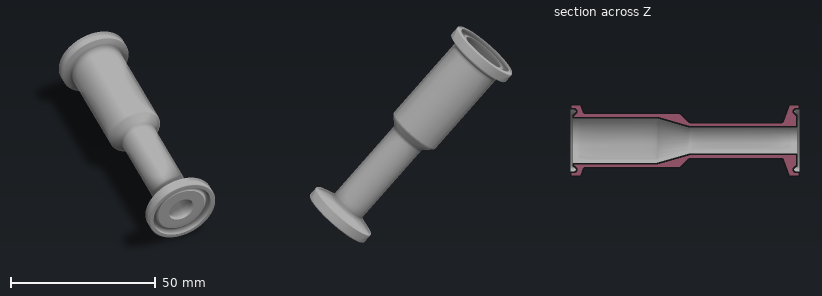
import cadquery as cq
import math

TOTAL_LENGTH = 79.38
FLANGE_RADIUS = 24.99 / 2

LARGE_TUBE_RADIUS = 19.05 / 2
LARGE_BORE_RADIUS = 15.75 / 2
SMALL_TUBE_RADIUS = 12.7 / 2
SMALL_BORE_RADIUS = 9.4 / 2

CONE_START = 38.05
CONE_ANGLE = math.radians(45)
CONE_LENGTH = (LARGE_TUBE_RADIUS - SMALL_TUBE_RADIUS) / math.tan(CONE_ANGLE)
CONE_END = CONE_START + CONE_LENGTH
CONE_BLEND_RADIUS = 1.0
BORE_CONE_ANGLE = math.radians(16)
BORE_CONE_LENGTH = (LARGE_BORE_RADIUS - SMALL_BORE_RADIUS) / math.tan(BORE_CONE_ANGLE)
BORE_CONE_END = CONE_END
BORE_CONE_START = BORE_CONE_END - BORE_CONE_LENGTH

FLANGE_THICKNESS = 3.65
BACK_SLOPE = math.radians(20)
FACE_RIM_FILLET = 0.4
BACK_RIM_FILLET = 0.25
NECK_FILLET = 0.6

GROOVE_OUTER_RADIUS = 21.89 / 2
GROOVE_DEPTH = 2.05
GROOVE_FLOOR_RADIUS = 0.85
LIP_RECESS = 0.9
GROOVE_WALL_SLOPE = math.radians(40)

SELECTION_MARGIN = 0.01


def back_slope_length(tube_radius):
    """Axial length of the sloped flange back down to a tube."""
    return (FLANGE_RADIUS - tube_radius) * math.tan(BACK_SLOPE)


LARGE_NECK = FLANGE_THICKNESS + back_slope_length(LARGE_TUBE_RADIUS)
SMALL_NECK = TOTAL_LENGTH - FLANGE_THICKNESS - back_slope_length(SMALL_TUBE_RADIUS)


def revolve_about_x(profile):
    """Close a half profile drawn in XY and spin it about the part axis."""
    return profile.close().revolve(360, (0, 0, 0), (1, 0, 0))


def circles_at(x):
    """Select the circular edges lying in the plane at x."""
    reach = FLANGE_RADIUS + SELECTION_MARGIN
    return cq.selectors.BoxSelector(
        (x - SELECTION_MARGIN, -reach, -reach),
        (x + SELECTION_MARGIN, reach, reach),
        boundingbox=True,
    )


def make_outer_body():
    body = revolve_about_x(
        cq.Workplane("XY")
        .moveTo(0, 0)
        .lineTo(0, FLANGE_RADIUS)
        .lineTo(FLANGE_THICKNESS, FLANGE_RADIUS)
        .lineTo(LARGE_NECK, LARGE_TUBE_RADIUS)
        .lineTo(CONE_START, LARGE_TUBE_RADIUS)
        .lineTo(CONE_END, SMALL_TUBE_RADIUS)
        .lineTo(SMALL_NECK, SMALL_TUBE_RADIUS)
        .lineTo(TOTAL_LENGTH - FLANGE_THICKNESS, FLANGE_RADIUS)
        .lineTo(TOTAL_LENGTH, FLANGE_RADIUS)
        .lineTo(TOTAL_LENGTH, 0)
    )
    for x in (0, TOTAL_LENGTH):
        body = body.edges(circles_at(x)).fillet(FACE_RIM_FILLET)
    for x in (FLANGE_THICKNESS, TOTAL_LENGTH - FLANGE_THICKNESS):
        body = body.edges(circles_at(x)).fillet(BACK_RIM_FILLET)
    for x in (LARGE_NECK, SMALL_NECK):
        body = body.edges(circles_at(x)).fillet(NECK_FILLET)
    for x in (CONE_START, CONE_END):
        body = body.edges(circles_at(x)).fillet(CONE_BLEND_RADIUS)
    return body


def make_bore():
    return revolve_about_x(
        cq.Workplane("XY")
        .moveTo(0, 0)
        .lineTo(0, LARGE_BORE_RADIUS)
        .lineTo(BORE_CONE_START, LARGE_BORE_RADIUS)
        .lineTo(BORE_CONE_END, SMALL_BORE_RADIUS)
        .lineTo(TOTAL_LENGTH, SMALL_BORE_RADIUS)
        .lineTo(TOTAL_LENGTH, 0)
    )


def make_groove():
    """Cut into the face at x = 0: straight outer wall, round floor, sloped wall up to a recessed lip."""
    wall_end = GROOVE_DEPTH - GROOVE_FLOOR_RADIUS
    floor_center = GROOVE_OUTER_RADIUS - GROOVE_FLOOR_RADIUS
    slope_end_x = wall_end + GROOVE_FLOOR_RADIUS * math.sin(GROOVE_WALL_SLOPE)
    slope_end_radius = floor_center - GROOVE_FLOOR_RADIUS * math.cos(GROOVE_WALL_SLOPE)
    lip_radius = slope_end_radius - (slope_end_x - LIP_RECESS) * math.tan(GROOVE_WALL_SLOPE)
    return revolve_about_x(
        cq.Workplane("XY")
        .moveTo(0, 0)
        .lineTo(0, GROOVE_OUTER_RADIUS)
        .lineTo(wall_end, GROOVE_OUTER_RADIUS)
        .threePointArc((GROOVE_DEPTH, floor_center), (slope_end_x, slope_end_radius))
        .lineTo(LIP_RECESS, lip_radius)
        .lineTo(LIP_RECESS, 0)
    )


groove = make_groove()
far_groove = groove.mirror("YZ", (TOTAL_LENGTH / 2, 0, 0))

result = make_outer_body().cut(make_bore()).cut(groove).cut(far_groove)